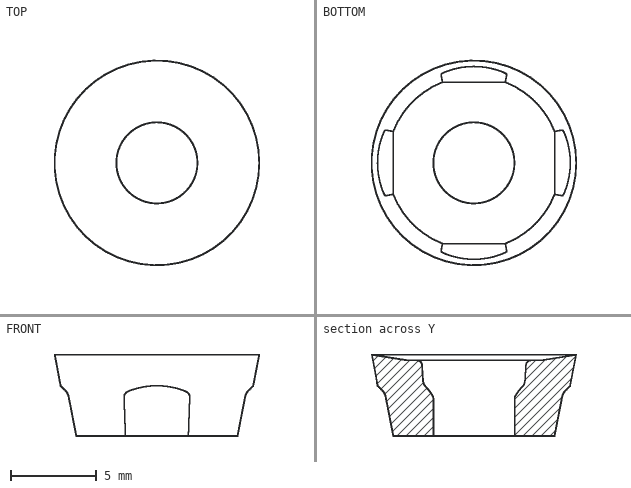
import math

import cadquery as cq

top_diameter = 11.95
thickness = 4.76
clearance_angle = 11.0
clearance_slope = math.tan(math.radians(clearance_angle))
top_radius = top_diameter / 2
base_radius = top_radius - thickness * clearance_slope

land_radius = 3.88
land_depth = 0.33
land_z = thickness - land_depth

hole_radius = 2.36
hole_height = 2.17
seat_bottom_round = 0.415
seat_bottom_angle = 32.0
seat_crown_radius = 3.08
seat_top_angle = 44.0
seat_top_round = 0.52
mouth_wall_angle = 3.5
mouth_round = 0.31
land_angle = 90.0

flat_count = 4
flat_base_distance = 4.705
flat_corner_z = 2.515
flat_corner_distance = flat_base_distance + flat_corner_z * clearance_slope
flat_round = 0.75
shoulder_angle = 45.0

overshoot = 1.0


def rounded_corner(before, corner, after, radius):
    """Start, middle and end points of a round arc that blends a profile corner."""
    corner = cq.Vector(*corner)
    toward_before = (cq.Vector(*before) - corner).normalized()
    toward_after = (cq.Vector(*after) - corner).normalized()
    half_angle = toward_before.getAngle(toward_after) / 2
    tangent_length = radius / math.tan(half_angle)
    bisector = (toward_before + toward_after).normalized()
    start = corner + toward_before * tangent_length
    middle = corner + bisector * (radius / math.sin(half_angle) - radius)
    end = corner + toward_after * tangent_length
    return [(point.x, point.y) for point in (start, middle, end)]


def arc_up(start, start_angle, end_angle, radius):
    """Middle and end points of an arc that rises from start as its wall angle changes."""

    def point_at(angle):
        first = math.radians(start_angle)
        last = math.radians(angle)
        signed_radius = math.copysign(radius, end_angle - start_angle)
        outward = signed_radius * (math.cos(first) - math.cos(last))
        upward = signed_radius * (math.sin(last) - math.sin(first))
        return (start[0] + outward, start[1] + upward)

    return point_at((start_angle + end_angle) / 2), point_at(end_angle)


def make_body():
    """Tapered disc with the dished top face, still without its bore."""
    return (
        cq.Workplane("XZ")
        .polyline(
            [
                (0, 0),
                (base_radius, 0),
                (top_radius, thickness),
                (land_radius, land_z),
                (0, land_z),
            ]
        )
        .close()
        .revolve(360, (0, 0), (0, 1))
    )


def make_bore():
    """Solid of the bore, its wall a chain of tangent arcs and lines from bottom to top."""
    hole_top = (hole_radius, hole_height)
    bottom_middle, seat_foot = arc_up(hole_top, 0, seat_bottom_angle, seat_bottom_round)
    crown_middle, seat_top = arc_up(seat_foot, seat_bottom_angle, seat_top_angle, seat_crown_radius)
    top_middle, wall_foot = arc_up(seat_top, seat_top_angle, mouth_wall_angle, seat_top_round)

    wall_angle = math.radians(mouth_wall_angle)
    wall_top_z = land_z - mouth_round * (1 - math.sin(wall_angle))
    wall_top_radius = wall_foot[0] + (wall_top_z - wall_foot[1]) * math.tan(wall_angle)
    wall_top = (wall_top_radius, wall_top_z)
    mouth_middle, mouth_edge = arc_up(wall_top, mouth_wall_angle, land_angle, mouth_round)

    return (
        cq.Workplane("XZ")
        .moveTo(0, -overshoot)
        .lineTo(hole_radius, -overshoot)
        .lineTo(*hole_top)
        .threePointArc(bottom_middle, seat_foot)
        .threePointArc(crown_middle, seat_top)
        .threePointArc(top_middle, wall_foot)
        .lineTo(*wall_top)
        .threePointArc(mouth_middle, mouth_edge)
        .lineTo(0, land_z)
        .close()
        .revolve(360, (0, 0), (0, 1))
    )


def make_flat_cutter():
    """Bar on the +X side whose inner faces are a clamping flat and its shoulder."""
    outer_distance = top_radius + overshoot
    shoulder_rise = (outer_distance - flat_corner_distance) * math.tan(math.radians(shoulder_angle))

    flat_bottom = (flat_base_distance - overshoot * clearance_slope, -overshoot)
    flat_corner = (flat_corner_distance, flat_corner_z)
    shoulder_end = (outer_distance, flat_corner_z + shoulder_rise)
    round_start, round_middle, round_end = rounded_corner(flat_bottom, flat_corner, shoulder_end, flat_round)

    return (
        cq.Workplane("XZ")
        .moveTo(*flat_bottom)
        .lineTo(*round_start)
        .threePointArc(round_middle, round_end)
        .lineTo(*shoulder_end)
        .lineTo(outer_distance, -overshoot)
        .close()
        .extrude(top_radius, both=True)
    )


result = make_body().cut(make_bore())

flat_cutter = make_flat_cutter()
for index in range(flat_count):
    turn = index * 360 / flat_count
    result = result.cut(flat_cutter.rotate((0, 0, 0), (0, 0, 1), turn))